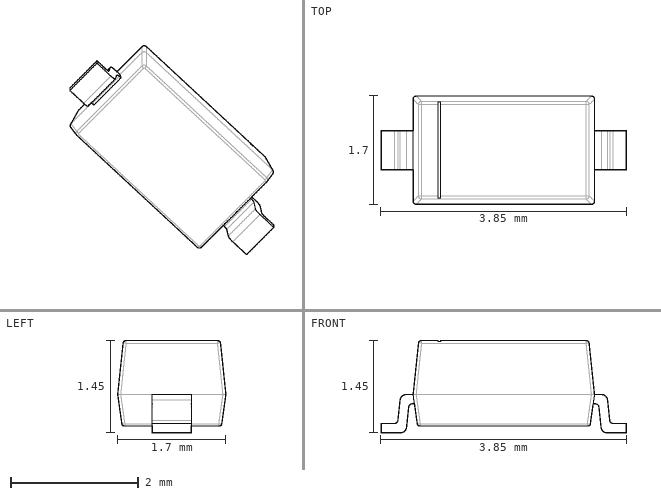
import cadquery as cq
import math

BODY_LENGTH = 2.85
BODY_WIDTH = 1.7
BODY_TOP = 1.45
BODY_BOTTOM = 0.108
PARTING_HEIGHT = 0.605
UPPER_DRAFT = 6
LOWER_DRAFT = 8
EDGE_RADIUS = 0.05
BOTTOM_EDGE_RADIUS = 0.04

GROOVE_X = -1.013
GROOVE_WIDTH = 0.04
GROOVE_DEPTH = 0.015

LEAD_SPAN = 3.85
LEAD_WIDTH = 0.615
LEAD_THICKNESS = 0.15
LEAD_LEAN = 6
LEAD_SHOULDER_X = 1.62
LEAD_ROOT_X = 1.232
OUTER_BEND_RADIUS = 0.1
INNER_BEND_RADIUS = 0.05


def body_half(height, draft):
    """One half of the body, narrowing away from the parting plane (negative height goes down)."""
    half = (
        cq.Workplane("XY")
        .workplane(offset=PARTING_HEIGHT)
        .rect(BODY_LENGTH, BODY_WIDTH)
        .extrude(height, taper=draft)
    )
    return half


def make_body():
    upper = body_half(BODY_TOP - PARTING_HEIGHT, UPPER_DRAFT)
    lower = body_half(BODY_BOTTOM - PARTING_HEIGHT, LOWER_DRAFT)
    body = upper.union(lower)
    body = body.edges("not (|X or |Y)").fillet(EDGE_RADIUS)
    body = body.faces(">Z").edges().fillet(EDGE_RADIUS)
    return body.faces("<Z").edges().fillet(BOTTOM_EDGE_RADIUS)


def make_groove():
    """Cutter that runs out through the rounded long edges of the top face."""
    return (
        cq.Workplane("XY")
        .box(GROOVE_WIDTH, BODY_WIDTH, GROOVE_DEPTH, centered=(True, True, False))
        .translate((GROOVE_X, 0, BODY_TOP - GROOVE_DEPTH))
    )


def make_lead():
    """The lead on the +X side: root in the body, leaning leg, flat foot."""
    lean = math.radians(LEAD_LEAN)
    leg_thickness_x = LEAD_THICKNESS / math.cos(lean)

    def leg_outer_x(z):
        return LEAD_SHOULDER_X + (PARTING_HEIGHT - z) * math.tan(lean)

    root_bottom = PARTING_HEIGHT - LEAD_THICKNESS
    foot_end = LEAD_SPAN / 2
    shoulder = (LEAD_SHOULDER_X, PARTING_HEIGHT)
    instep = (leg_outer_x(LEAD_THICKNESS), LEAD_THICKNESS)
    heel = (leg_outer_x(0) - leg_thickness_x, 0)
    armpit = (leg_outer_x(root_bottom) - leg_thickness_x, root_bottom)

    lead = (
        cq.Workplane("XZ")
        .moveTo(LEAD_ROOT_X, PARTING_HEIGHT)
        .lineTo(*shoulder)
        .lineTo(*instep)
        .lineTo(foot_end, LEAD_THICKNESS)
        .lineTo(foot_end, 0)
        .lineTo(*heel)
        .lineTo(*armpit)
        .lineTo(LEAD_ROOT_X, root_bottom)
        .close()
        .extrude(LEAD_WIDTH / 2, both=True)
    )
    bends = (
        (shoulder, OUTER_BEND_RADIUS),
        (heel, OUTER_BEND_RADIUS),
        (instep, INNER_BEND_RADIUS),
        (armpit, INNER_BEND_RADIUS),
    )
    for (x, z), radius in bends:
        bend_edge = cq.NearestToPointSelector((x, 0, z))
        lead = lead.edges("|Y").edges(bend_edge).fillet(radius)
    return lead


right_lead = make_lead()
left_lead = right_lead.mirror("YZ")
result = make_body().cut(make_groove()).union(right_lead).union(left_lead)